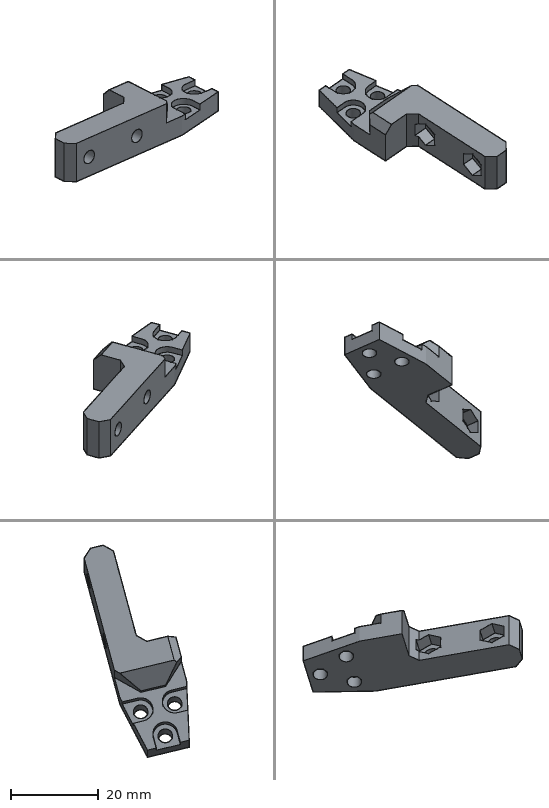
import cadquery as cq
import math

width = 15.8
length = 48.9
height = 10.0
plate_height = height / 2
edge_chamfer = 1.95

arm_left = 8.85
shoulder_front = 25.0
taper_start = 34.95
back_width = 9.9

block_back_wall_top = 5.95
block_corner_chamfer = 5.0

hole_diameter = 3.3
plate_hole_spacing = 8.0
back_hole_y = 46.0
side_holes_y = 38.95
pocket_width = 5.6
pocket_floor = 3.45
nut_across_flats = 5.6
nut_pocket_depth = 3.0
arm_holes_y = (5.95, 20.85)

mid_x = width / 2


def make_plan():
    """Full-height prism over the arm, shoulder and tapered plate."""
    points = [
        (arm_left + edge_chamfer, 0),
        (width - edge_chamfer, 0),
        (width, edge_chamfer),
        (width, taper_start),
        (mid_x + back_width / 2, length),
        (mid_x - back_width / 2, length),
        (0, taper_start),
        (0, shoulder_front),
        (arm_left - edge_chamfer, shoulder_front),
        (arm_left, shoulder_front - edge_chamfer),
        (arm_left, edge_chamfer),
    ]
    return cq.Workplane("XY").polyline(points).close().extrude(height)


def make_raised_envelope():
    """Space above the plate kept by the block, with its sloped and cut corners."""
    slope_run = height - block_back_wall_top
    side_profile = [
        (0, plate_height),
        (taper_start, plate_height),
        (taper_start, block_back_wall_top),
        (taper_start - slope_run, height),
        (0, height),
    ]
    block = cq.Workplane("YZ").polyline(side_profile).close().extrude(width)
    block = block.edges("|Z and >Y").chamfer(block_corner_chamfer)
    bevel = (
        cq.Workplane("XZ")
        .polyline([(0, height), (edge_chamfer, height), (0, height - edge_chamfer)])
        .close()
        .extrude(-length)
    )
    return block.cut(bevel)


def plate_fastener(x, y, open_angle):
    """Through hole and round-ended pocket running out through the plate edge."""
    hole = cq.Workplane("XY").center(x, y).circle(hole_diameter / 2).extrude(height)
    pocket = cq.Workplane("XY").circle(pocket_width / 2).extrude(height)
    channel = cq.Workplane("XY").rect(width, pocket_width).extrude(height)
    pocket = pocket.union(channel.translate((mid_x, 0, 0)))
    pocket = pocket.rotate((0, 0, 0), (0, 0, 1), open_angle)
    return hole.union(pocket.translate((x, y, pocket_floor)))


def arm_fastener(y):
    """Cross hole with a hexagonal nut pocket, one corner pointing up."""
    center = (y, height / 2)
    across_corners = nut_across_flats / math.cos(math.pi / 6)
    hole = cq.Workplane("YZ").center(*center).circle(hole_diameter / 2).extrude(width)
    nut = (
        cq.Workplane("YZ")
        .center(*center)
        .transformed(rotate=(0, 0, 90))
        .polygon(6, across_corners)
        .extrude(arm_left + nut_pocket_depth)
    )
    return hole.union(nut)


plate_envelope = cq.Workplane("XY").box(width, length, plate_height, centered=False)
result = make_plan().intersect(plate_envelope.union(make_raised_envelope()))

half_spacing = plate_hole_spacing / 2
result = result.cut(plate_fastener(mid_x, back_hole_y, 90))
result = result.cut(plate_fastener(mid_x - half_spacing, side_holes_y, 180))
result = result.cut(plate_fastener(mid_x + half_spacing, side_holes_y, 0))
for hole_y in arm_holes_y:
    result = result.cut(arm_fastener(hole_y))